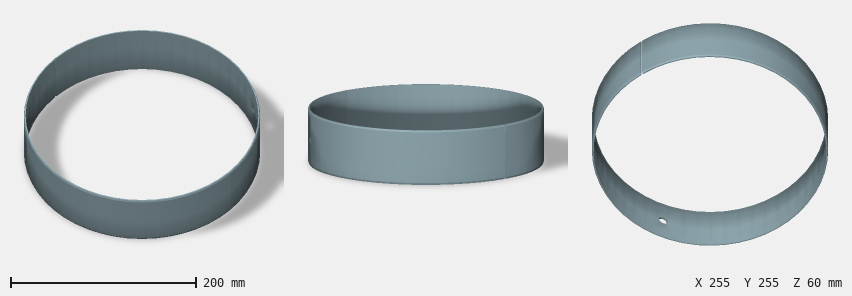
import cadquery as cq

outer_diameter = 255.0
height = 60.0
wall = 2.0
chamfer_height = 2.0
chamfer_inset = 0.8

slit_width = 1.8

hole_diameter = 10.0
hole_angle = 58.8
hole_height = height / 2

outer_radius = outer_diameter / 2


def make_band():
    """Thin ring standing on Z = 0, with steep chamfers on its outer rims."""
    rim_radius = outer_radius - chamfer_inset
    inner_radius = outer_radius - wall
    section = [
        (inner_radius, 0),
        (rim_radius, 0),
        (outer_radius, chamfer_height),
        (outer_radius, height - chamfer_height),
        (rim_radius, height),
        (inner_radius, height),
    ]
    return cq.Workplane("XZ").polyline(section).close().revolve(360, (0, 0, 0), (0, 1, 0))


def make_slit():
    """Full-height block that splits the band on the -X side."""
    return (
        cq.Workplane("XY")
        .center(-outer_radius, slit_width / 2)
        .rect(4 * wall, slit_width)
        .extrude(height)
    )


def make_hole():
    """Radial cylinder that pierces one side of the wall."""
    return (
        cq.Workplane("YZ")
        .center(0, hole_height)
        .circle(hole_diameter / 2)
        .extrude(outer_diameter)
        .rotate((0, 0, 0), (0, 0, 1), hole_angle)
    )


result = make_band().cut(make_slit()).cut(make_hole())